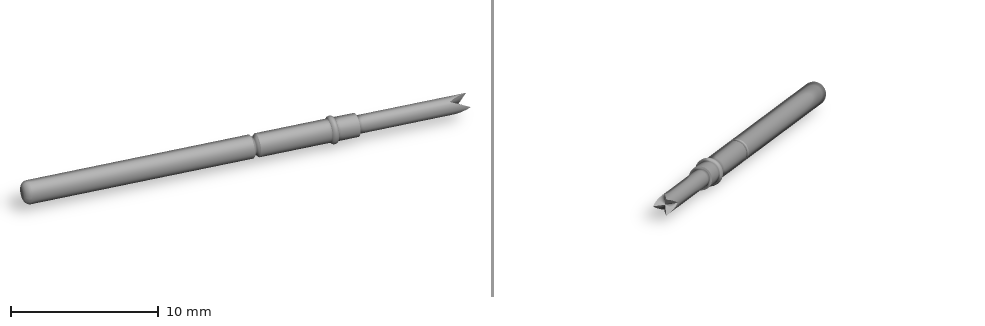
import cadquery as cq
import math

length = 32.0
tip_y = length / 2

plunger_radius = 0.65
plunger_length = 8.0
barrel_radius = 0.83
barrel_length = length - plunger_length
tail_fillet = 0.45

collar_radius = 1.0
collar_width = 0.5
collar_front_y = tip_y - 9.5

crimp_y = tip_y - 15.35
crimp_width = 0.45
crimp_floor_radius = 0.6

crown_points = 3
crown_center_depth = 0.67
crown_valley_depth = 1.4


def cylinder(radius, front_y, height):
    """Cylinder on the Y axis, running from front_y toward -Y."""
    return cq.Workplane("XZ", origin=(0, front_y, 0)).circle(radius).extrude(height)


def make_barrel():
    barrel = cylinder(barrel_radius, tip_y - plunger_length, barrel_length)
    return barrel.faces("<Y").edges().fillet(tail_fillet)


def make_collar():
    rim_radius = collar_width / 2
    rim_center_radius = collar_radius - rim_radius
    rear_y = collar_front_y - collar_width
    profile = (
        cq.Workplane("XY")
        .moveTo(0, collar_front_y)
        .lineTo(rim_center_radius, collar_front_y)
        .threePointArc((collar_radius, collar_front_y - rim_radius), (rim_center_radius, rear_y))
        .lineTo(0, rear_y)
        .close()
    )
    return profile.revolve(360, (0, 0, 0), (0, 1, 0))


def make_crimp():
    """Triangular ring that cuts the crimp into the barrel."""
    profile = cq.Workplane("XY").polyline([
        (barrel_radius, crimp_y + crimp_width / 2),
        (crimp_floor_radius, crimp_y),
        (barrel_radius, crimp_y - crimp_width / 2),
    ]).close()
    return profile.revolve(360, (0, 0, 0), (0, 1, 0))


def make_crown_notch():
    """V notch running along X whose floor drops from the axis toward the -X rim."""
    floor_slope = (crown_valley_depth - crown_center_depth) / plunger_radius
    half_angle = math.pi / crown_points

    point_offset = plunger_radius * math.sin(half_angle)
    point_reach = plunger_radius * math.cos(half_angle)
    point_height = crown_center_depth + floor_slope * point_reach
    wall_slope = point_offset / point_height

    reach = 2 * plunger_radius
    opening_height = 2 * (crown_valley_depth + floor_slope * reach)
    opening_offset = wall_slope * opening_height
    floor_y = tip_y - crown_center_depth - floor_slope * reach
    profile = cq.Wire.makePolygon([
        cq.Vector(-reach, floor_y, 0),
        cq.Vector(-reach, floor_y + opening_height, opening_offset),
        cq.Vector(-reach, floor_y + opening_height, -opening_offset),
    ], close=True)
    run = cq.Vector(2 * reach, 2 * floor_slope * reach, 0)
    return cq.Workplane(cq.Solid.extrudeLinear(profile, [], run))


def make_plunger():
    plunger = cylinder(plunger_radius, tip_y, plunger_length)
    notch = make_crown_notch()
    for index in range(crown_points):
        angle = index * 360 / crown_points
        plunger = plunger.cut(notch.rotate((0, 0, 0), (0, 1, 0), angle))
    return plunger


result = make_barrel().union(make_collar()).cut(make_crimp()).union(make_plunger())